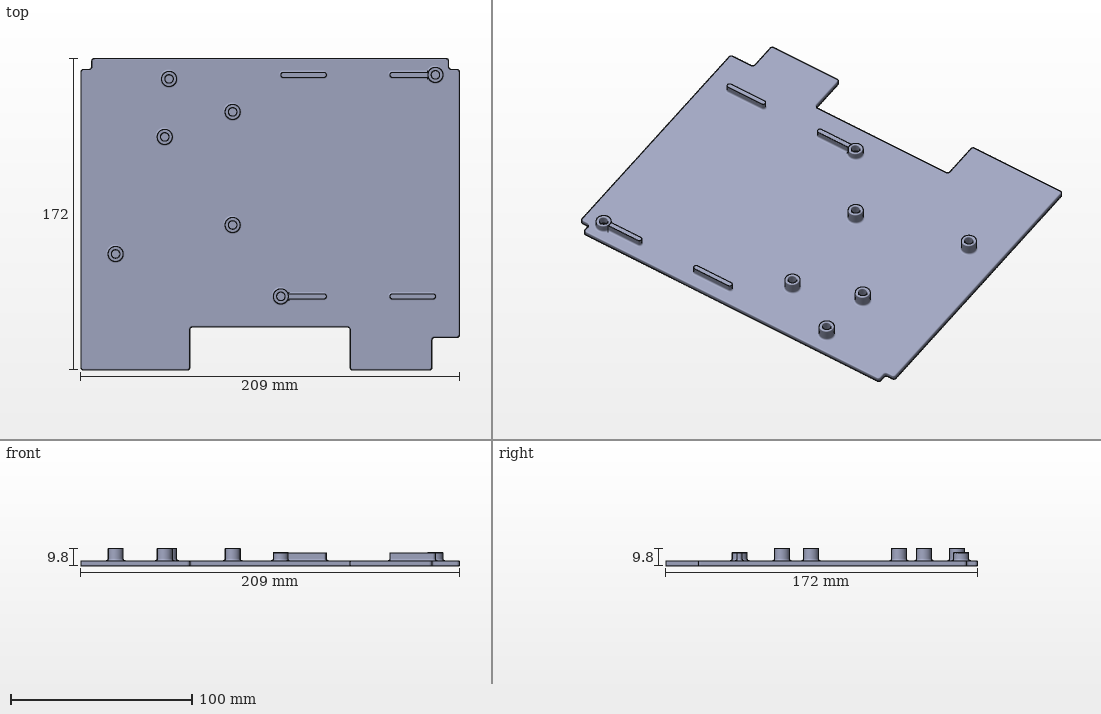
import cadquery as cq

PLATE_LENGTH = 209.0
PLATE_WIDTH = 172.0
PLATE_THICKNESS = 3.0
CORNER_RADIUS = 1.5
EDGE_ROUND = 0.7

NOTCH_SIZE = 6.0
BAY_LEFT = 60.2
BAY_RIGHT = 148.6
BAY_DEPTH = 23.8
STEP_X = 193.8
STEP_DEPTH = 18.0

RAIL_WIDTH = 2.8
RAIL_LENGTH = 25.1
RAIL_TOP = 7.3
RAIL_PITCH = 60.2
LEFT_RAIL_START = 110.4
LOWER_ROW_Y = 40.7
UPPER_ROW_Y = 162.95

BOSS_DIAMETER = 8.36
BOSS_BORE = 4.7
BOSS_RIM_ROUND = 0.4
TALL_BOSS_TOP = 9.8
LOW_BOSS_TOP = 7.5
TALL_BOSS_CENTERS = [
    (48.7, 160.7),
    (46.3, 128.7),
    (83.8, 142.5),
    (83.8, 80.1),
    (19.2, 64.1),
]
LOW_BOSS_CENTERS = [
    (LEFT_RAIL_START, LOWER_ROW_Y),
    (LEFT_RAIL_START + RAIL_PITCH + RAIL_LENGTH, UPPER_ROW_Y),
]

FOOT_FILLET = 1.0


def make_plate():
    """Flat plate with notched upper corners, a lower bay and a stepped lower-right corner."""
    shoulder_y = PLATE_WIDTH - NOTCH_SIZE
    notch_right = PLATE_LENGTH - NOTCH_SIZE
    outline = [
        (0, 0),
        (BAY_LEFT, 0),
        (BAY_LEFT, BAY_DEPTH),
        (BAY_RIGHT, BAY_DEPTH),
        (BAY_RIGHT, 0),
        (STEP_X, 0),
        (STEP_X, STEP_DEPTH),
        (PLATE_LENGTH, STEP_DEPTH),
        (PLATE_LENGTH, shoulder_y),
        (notch_right, shoulder_y),
        (notch_right, PLATE_WIDTH),
        (NOTCH_SIZE, PLATE_WIDTH),
        (NOTCH_SIZE, shoulder_y),
        (0, shoulder_y),
    ]
    plate = cq.Workplane("XY").polyline(outline).close().extrude(PLATE_THICKNESS)
    plate = plate.edges("|Z").fillet(CORNER_RADIUS)
    return plate.faces("<Z or >Z").edges().fillet(EDGE_ROUND)


def on_plate():
    """Workplane on the upper face of the plate."""
    return cq.Workplane("XY").workplane(offset=PLATE_THICKNESS)


def make_rails():
    """All four rails."""
    first_middle = LEFT_RAIL_START + RAIL_LENGTH / 2
    centers = []
    for row_y in (LOWER_ROW_Y, UPPER_ROW_Y):
        for middle_x in (first_middle, first_middle + RAIL_PITCH):
            centers.append((middle_x, row_y))
    height = RAIL_TOP - PLATE_THICKNESS
    return on_plate().pushPoints(centers).slot2D(RAIL_LENGTH, RAIL_WIDTH).extrude(height)


def make_bosses(centers, top):
    """Solid bosses with a rounded outer rim."""
    bosses = on_plate().pushPoints(centers).circle(BOSS_DIAMETER / 2).extrude(top - PLATE_THICKNESS)
    return bosses.faces(">Z").edges().fillet(BOSS_RIM_ROUND)


def blend_feet(body):
    """Fillet the inside corners around every boss and rail.

    Their footprints are the inner loops of the plate's upper face, the largest face pointing up.
    """
    plate_face = max(body.faces("+Z").vals(), key=lambda face: face.Area())
    foot_edges = [edge for loop in plate_face.innerWires() for edge in loop.Edges()]
    return body.newObject(foot_edges).fillet(FOOT_FILLET)


def make_bores(centers, top):
    """Blind bores from the boss tops down to the plate surface, rounded outward at the mouth."""
    radius = BOSS_BORE / 2
    bore = (
        cq.Workplane("XZ")
        .moveTo(0, PLATE_THICKNESS)
        .lineTo(radius, PLATE_THICKNESS)
        .lineTo(radius, top - BOSS_RIM_ROUND)
        .radiusArc((radius + BOSS_RIM_ROUND, top), BOSS_RIM_ROUND)
        .lineTo(0, top)
        .close()
        .revolve()
        .val()
    )
    return cq.Workplane("XY").pushPoints(centers).eachpoint(bore)


def make_part():
    boss_groups = [(TALL_BOSS_CENTERS, TALL_BOSS_TOP), (LOW_BOSS_CENTERS, LOW_BOSS_TOP)]
    body = make_plate().union(make_rails())
    for centers, top in boss_groups:
        body = body.union(make_bosses(centers, top))
    body = blend_feet(body)
    for centers, top in boss_groups:
        body = body.cut(make_bores(centers, top))
    return body


result = make_part()